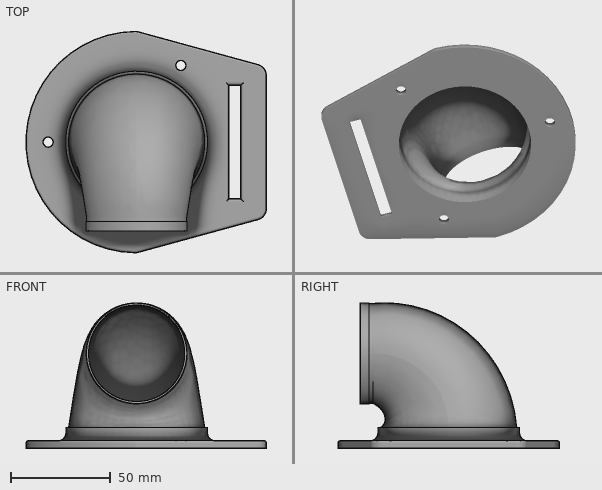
import cadquery as cq
import math

plate_diameter = 111.1
plate_length = 120.6
plate_radius = plate_diameter / 2
straight_edge_x = plate_length - plate_radius
straight_edge_corner_y = 37.8
plate_thickness = 3.9
corner_radius = 5.8
rim_fillet = 1.2

screw_hole_count = 3
screw_hole_diameter = 5.0
screw_circle_radius = 44.4
first_screw_angle = 60

slot_width = 5.9
slot_length = 56.8
slot_center_x = 49.2
slot_rim_fillet = 1.6

wall = 1.0
base_radius = 34.1
mouth_radius = 25.1
bend_radius = 38.0
bend_section_count = 7
neck_length = 1.9
lip_length = 4.6
lip_radius = 25.3

socket_radius = 35.6
socket_top = 10.5
seat_height = 7.7
root_fillet = seat_height - plate_thickness
bore_radius = base_radius - wall

total_height = 73.0
mouth_center_z = total_height - lip_radius
bend_start_z = socket_top
bend_rise = mouth_center_z - bend_start_z


def make_plate():
    """Plate outline with rounded corners and a rounded upper rim."""
    outline = (
        cq.Workplane("XY")
        .moveTo(0, plate_radius)
        .threePointArc((-plate_radius, 0), (0, -plate_radius))
        .lineTo(straight_edge_x, -straight_edge_corner_y)
        .lineTo(straight_edge_x, straight_edge_corner_y)
        .close()
    )
    plate = outline.extrude(plate_thickness).edges("|Z").fillet(corner_radius)
    return plate.faces(">Z").edges().fillet(rim_fillet)


def make_socket():
    """Flared collar, revolved about Z, including its bore and elbow seat."""
    root_radius = socket_radius + root_fillet
    arc_middle = root_fillet * (1 - math.sqrt(0.5))
    return (
        cq.Workplane("XZ")
        .moveTo(bore_radius, 0)
        .lineTo(root_radius, 0)
        .lineTo(root_radius, plate_thickness)
        .threePointArc(
            (socket_radius + arc_middle, plate_thickness + arc_middle),
            (socket_radius, seat_height),
        )
        .lineTo(socket_radius, socket_top)
        .lineTo(base_radius, socket_top)
        .lineTo(base_radius, seat_height)
        .lineTo(bore_radius, seat_height)
        .close()
        .revolve(360, (0, 0, 0), (0, 1, 0))
    )


def make_screw_holes():
    return (
        cq.Workplane("XY")
        .polarArray(screw_circle_radius, first_screw_angle, 360, screw_hole_count)
        .circle(screw_hole_diameter / 2)
        .extrude(plate_thickness)
    )


def cut_slot(plate):
    """Cut the rectangular slot and round its upper rim."""
    slot = cq.Workplane("XY").center(slot_center_x, 0).rect(slot_width, slot_length).extrude(plate_thickness)
    half_width = slot_width / 2 + slot_rim_fillet
    half_length = slot_length / 2 + slot_rim_fillet
    rim_edges = cq.selectors.BoxSelector(
        (slot_center_x - half_width, -half_length, plate_thickness - slot_rim_fillet / 2),
        (slot_center_x + half_width, half_length, plate_thickness + slot_rim_fillet),
    )
    return plate.cut(slot).edges(rim_edges).fillet(slot_rim_fillet)


def make_flange():
    bore = cq.Workplane("XY").circle(bore_radius).extrude(plate_thickness)
    plate = cut_slot(make_plate()).cut(bore).cut(make_screw_holes())
    return plate.union(make_socket())


def bend_section(turn, inset):
    """Circular section of the bend after a given fraction of the quarter turn."""
    angle = turn * math.pi / 2
    radius = base_radius + turn * (mouth_radius - base_radius) - inset
    center = cq.Vector(
        0,
        -bend_radius * (1 - math.cos(angle)),
        bend_start_z + bend_rise * math.sin(angle),
    )
    direction = cq.Vector(0, -math.sin(angle), math.cos(angle))
    plane = cq.Plane(origin=center, xDir=(1, 0, 0), normal=direction)
    return cq.Wire.assembleEdges([cq.Edge.makeCircle(radius, plane.origin, plane.zDir)])


def make_duct(inset, mouth_length):
    """Solid foot, bend and straight mouth, reduced in radius by the inset."""
    foot = (
        cq.Workplane("XY", origin=(0, 0, seat_height))
        .circle(base_radius - inset)
        .extrude(bend_start_z - seat_height)
    )
    last = bend_section_count - 1
    sections = [bend_section(i / last, inset) for i in range(bend_section_count)]
    bend = cq.Workplane(cq.Solid.makeLoft(sections))
    mouth = (
        cq.Workplane("XZ", origin=(0, -bend_radius, mouth_center_z))
        .circle(mouth_radius - inset)
        .extrude(mouth_length)
    )
    return foot.union(bend).union(mouth)


def make_lip():
    """Slightly raised band around the open end of the elbow."""
    return (
        cq.Workplane("XZ", origin=(0, -bend_radius - neck_length, mouth_center_z))
        .circle(lip_radius)
        .extrude(lip_length)
    )


def make_elbow():
    outside = make_duct(0, neck_length).union(make_lip())
    passage = make_duct(wall, neck_length + lip_length)
    return outside.cut(passage)


flange = make_flange()
elbow = make_elbow()
result = cq.Compound.makeCompound([flange.solids().val(), elbow.solids().val()])